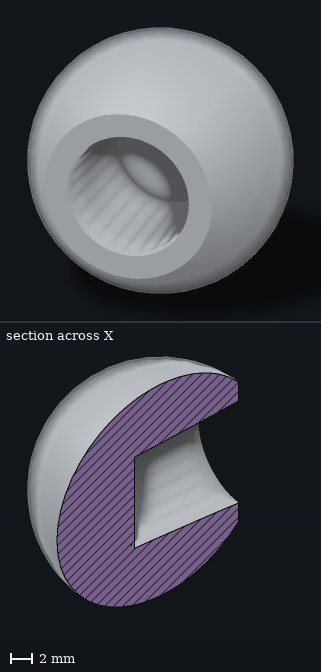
import cadquery as cq
import math

ball_diameter = 25.05
flat_distance = 9.4

mouth_diameter = 12.0
floor_diameter = 10.73
bore_depth = 12.53

ball_radius = ball_diameter / 2
flat_radius = math.sqrt(ball_radius**2 - flat_distance**2)
mouth_radius = mouth_diameter / 2
floor_radius = floor_diameter / 2
flat_y = -flat_distance
floor_y = flat_y + bore_depth

result = (
    cq.Workplane("XY")
    .moveTo(0, floor_y)
    .lineTo(floor_radius, floor_y)
    .lineTo(mouth_radius, flat_y)
    .lineTo(flat_radius, flat_y)
    .threePointArc((ball_radius, 0), (0, ball_radius))
    .close()
    .revolve(360, (0, 0, 0), (0, 1, 0))
)